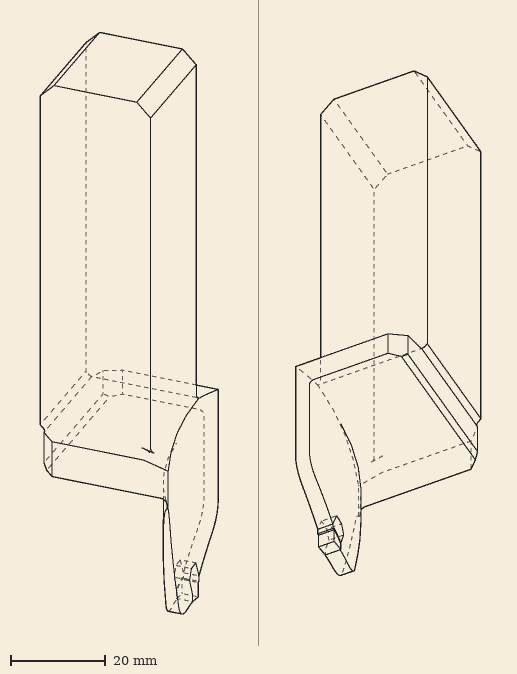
import cadquery as cq
import math

SHANK_SIZE = 25.3
TOTAL_HEIGHT = 131.7
TOP_CHAMFER = 3.2
ROOT_RELIEF = 1.2
FRONT_FILLET = 0.5
ROOT_FILLET = 1.0

FLANGE_BOTTOM = 39.5
FLANGE_TOP = 48.0
FLANGE_LEFT = ROOT_RELIEF
FLANGE_FRONT = -4.0
FLANGE_BACK = 35.2
FLANGE_RIGHT = 31.0
CORNER_CHAMFER = 3.2
BOTTOM_CHAMFER = 1.0
TOP_SLOPE = math.tan(math.radians(15))

ARC_CENTER_Y = 25.5
CONCAVE_RADIUS = 85.6
CONVEX_RADIUS = 55.3
CONVEX_LEFT = 22.1
BLADE_FILLET = 1.2

HEAD_PROUD = 0.1

CONCAVE_CENTER_X = FLANGE_RIGHT + math.sqrt(
    CONCAVE_RADIUS**2 - (ARC_CENTER_Y - FLANGE_FRONT) ** 2
)
CONVEX_CENTER_X = CONVEX_LEFT + CONVEX_RADIUS


def cylinder(center_x, radius):
    """Vertical cylinder, tall enough to cut the flange and blade."""
    return cq.Workplane("XY").center(center_x, ARC_CENTER_Y).circle(radius).extrude(FLANGE_TOP + ROOT_FILLET)


def between_blade_faces(profile, proud=0.0):
    """Extrude a YZ profile and trim it to the two curved blade faces."""
    return (
        profile.extrude(FLANGE_RIGHT)
        .intersect(cylinder(CONVEX_CENTER_X, CONVEX_RADIUS + proud))
        .cut(cylinder(CONCAVE_CENTER_X, CONCAVE_RADIUS))
    )


def make_shank():
    outline = (
        cq.Workplane("XZ")
        .moveTo(ROOT_RELIEF, FLANGE_TOP)
        .lineTo(0, FLANGE_TOP + ROOT_RELIEF)
        .lineTo(0, TOTAL_HEIGHT - TOP_CHAMFER)
        .lineTo(TOP_CHAMFER, TOTAL_HEIGHT)
        .lineTo(SHANK_SIZE - TOP_CHAMFER, TOTAL_HEIGHT)
        .lineTo(SHANK_SIZE, TOTAL_HEIGHT - TOP_CHAMFER)
        .lineTo(SHANK_SIZE, FLANGE_TOP)
        .close()
    )
    return outline.extrude(-SHANK_SIZE)


def make_flange():
    return (
        cq.Workplane("XY", origin=(0, 0, FLANGE_BOTTOM))
        .moveTo(FLANGE_LEFT, FLANGE_FRONT)
        .lineTo(FLANGE_RIGHT, FLANGE_FRONT)
        .lineTo(FLANGE_RIGHT, FLANGE_BACK)
        .lineTo(FLANGE_LEFT, FLANGE_BACK)
        .close()
        .extrude(FLANGE_TOP - FLANGE_BOTTOM)
        .edges("|Z and <X")
        .chamfer(CORNER_CHAMFER)
        .edges("<Z and <X")
        .chamfer(BOTTOM_CHAMFER)
    )


def slope_cutter(plane, far_edge):
    """Wedge above a top face that falls away from the shank side."""
    run = far_edge - SHANK_SIZE
    return (
        cq.Workplane(plane)
        .moveTo(SHANK_SIZE, FLANGE_TOP)
        .lineTo(far_edge, FLANGE_TOP)
        .lineTo(far_edge, FLANGE_TOP - run * TOP_SLOPE)
        .close()
        .extrude(TOTAL_HEIGHT, both=True)
    )


def make_blade():
    profile = (
        cq.Workplane("YZ")
        .moveTo(FLANGE_BACK, FLANGE_BOTTOM)
        .lineTo(FLANGE_BACK, 18.5)
        .threePointArc((34.5, 15.3), (32.8, 12.4))
        .lineTo(25.8, 4.9)
        .lineTo(22.1, 0.5)
        .lineTo(17.4, 0.5)
        .threePointArc((14.1, 1.8), (11.9, 4.9))
        .lineTo(0.7, 31.1)
        .threePointArc((-1.2, 34.4), (FLANGE_FRONT, 37.3))
        .lineTo(FLANGE_FRONT, FLANGE_BOTTOM)
        .close()
    )
    return between_blade_faces(profile)


def make_insert():
    seat = (
        cq.Workplane("YZ")
        .polyline([(25.8, 4.9), (24.0, 9.0), (21.3, 9.0), (20.2, 6.7), (21.9, 2.6), (25.8, 3.5)])
        .close()
    )
    head = (
        cq.Workplane("YZ")
        .polyline([(25.4, 4.0), (25.4, 0), (22.1, 0.5), (21.9, 2.6)])
        .close()
    )
    return between_blade_faces(seat).union(between_blade_faces(head, HEAD_PROUD))


def make_shank_on_flange():
    body = (
        make_flange()
        .cut(slope_cutter("XZ", FLANGE_RIGHT))
        .cut(slope_cutter("YZ", FLANGE_BACK))
        .union(make_shank())
    )
    back_root = cq.NearestToPointSelector((SHANK_SIZE / 2, SHANK_SIZE, FLANGE_TOP))
    right_root = cq.NearestToPointSelector((SHANK_SIZE, SHANK_SIZE / 2, FLANGE_TOP))
    front_root = cq.NearestToPointSelector((SHANK_SIZE / 2, 0, FLANGE_TOP))
    body = body.edges(back_root + right_root).fillet(ROOT_FILLET)
    body = body.edges(front_root).fillet(FRONT_FILLET)
    return body.cut(cylinder(CONCAVE_CENTER_X, CONCAVE_RADIUS))


def make_holder(insert):
    holder = make_shank_on_flange().union(make_blade())
    middle_y = (FLANGE_FRONT + FLANGE_BACK) / 2
    blade_root = cq.NearestToPointSelector((CONVEX_LEFT, middle_y, FLANGE_BOTTOM))
    return holder.edges(blade_root).fillet(BLADE_FILLET).cut(insert)


insert = make_insert()
holder = make_holder(insert)
result = cq.Compound.makeCompound([holder.val(), insert.val()])